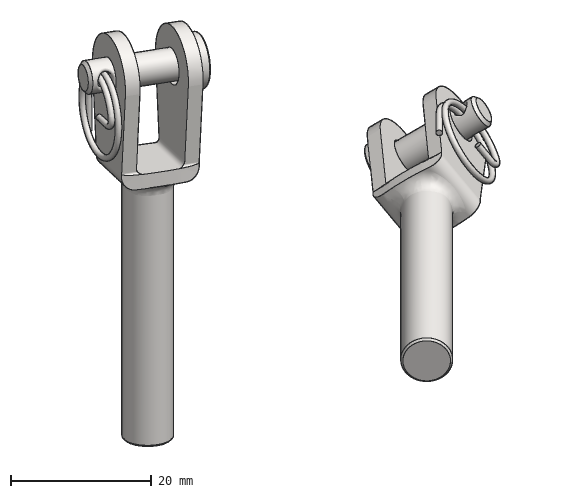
import cadquery as cq
import math


TOTAL_HEIGHT = 63.0
SHANK_RADIUS = 3.7
SHANK_CHAMFER = 0.3
NECK_FILLET = 2.0
BASE_BOTTOM = 40.8
SLOT_FLOOR = 43.1
SLOT_FILLET = 0.9
FORK_HALF_DEPTH = 6.0
SLOT_HALF_WIDTH = 3.7
BASE_HALF_WIDTH = 5.3
BASE_EDGE_ROUND = 2.1
ARM_FOOT_HALF_WIDTH = 4.85
ARM_FOOT_FILLET = 0.4
EYE_RADIUS = 6.3
EYE_Z = TOTAL_HEIGHT - EYE_RADIUS
PIN_BORE_RADIUS = 5.5 / 2
PIN_BORE_Z = 56.8

PIN_RADIUS = 2.45
PIN_Z = PIN_BORE_Z + PIN_BORE_RADIUS - PIN_RADIUS
PIN_TIP_Y = -9.95
PIN_TIP_CHAMFER = 0.5
HEAD_RADIUS = 4.15
HEAD_HEIGHT = 2.1
HEAD_CHAMFER = 0.2
CROSS_HOLE_RADIUS = 1.2
CROSS_HOLE_ROUND = 0.3
CROSS_HOLE_Y = -7.4

WIRE_RADIUS = 0.95 / 2
RING_RADIUS = 12.55 / 2
RING_Z = 51.0
RING_START_Y = -6.55
COIL_PITCH = 1.0
COIL_SWEEP = 521.0
TAIL_LENGTH = 4.9
BEND_RADIUS = 1.4
STUB_LENGTH = 3.35


def arm_side_outline():
    """Outline of an arm in the XZ plane: a round eye on a tapering leg."""
    foot_top = SLOT_FLOOR + ARM_FOOT_FILLET
    eye_rise = EYE_Z - foot_top
    foot_distance = math.hypot(ARM_FOOT_HALF_WIDTH, eye_rise)
    tangent_angle = math.acos(EYE_RADIUS / foot_distance) - math.atan2(eye_rise, ARM_FOOT_HALF_WIDTH)
    tangent_x = EYE_RADIUS * math.cos(tangent_angle)
    tangent_z = EYE_Z + EYE_RADIUS * math.sin(tangent_angle)
    return (
        cq.Workplane("XZ", origin=(0, FORK_HALF_DEPTH, 0))
        .moveTo(-ARM_FOOT_HALF_WIDTH, SLOT_FLOOR)
        .lineTo(-ARM_FOOT_HALF_WIDTH, foot_top)
        .lineTo(-tangent_x, tangent_z)
        .threePointArc((0, TOTAL_HEIGHT), (tangent_x, tangent_z))
        .lineTo(ARM_FOOT_HALF_WIDTH, foot_top)
        .lineTo(ARM_FOOT_HALF_WIDTH, SLOT_FLOOR)
        .close()
    )


def base_plan(bottom, height):
    """Slab with flat front and back and gently bulging sides."""
    return (
        cq.Workplane("XY", origin=(0, 0, bottom))
        .moveTo(-ARM_FOOT_HALF_WIDTH, -FORK_HALF_DEPTH)
        .lineTo(ARM_FOOT_HALF_WIDTH, -FORK_HALF_DEPTH)
        .threePointArc((BASE_HALF_WIDTH, 0), (ARM_FOOT_HALF_WIDTH, FORK_HALF_DEPTH))
        .lineTo(-ARM_FOOT_HALF_WIDTH, FORK_HALF_DEPTH)
        .threePointArc((-BASE_HALF_WIDTH, 0), (-ARM_FOOT_HALF_WIDTH, -FORK_HALF_DEPTH))
        .close()
        .extrude(height)
    )


def foot_flare():
    """Concave fillets that run from the arm sides out onto the base."""
    outer = ARM_FOOT_HALF_WIDTH + ARM_FOOT_FILLET
    top = SLOT_FLOOR + ARM_FOOT_FILLET
    chord = ARM_FOOT_FILLET * math.sqrt(0.5)
    flare = (
        cq.Workplane("XZ", origin=(0, FORK_HALF_DEPTH, 0))
        .moveTo(-outer, SLOT_FLOOR)
        .threePointArc((-outer + chord, top - chord), (-ARM_FOOT_HALF_WIDTH, top))
        .lineTo(ARM_FOOT_HALF_WIDTH, top)
        .threePointArc((outer - chord, top - chord), (outer, SLOT_FLOOR))
        .close()
        .extrude(2 * FORK_HALF_DEPTH)
    )
    return flare.intersect(base_plan(SLOT_FLOOR, ARM_FOOT_FILLET))


def slot_cutter():
    """Gap between the arms, open at the top, with rounded floor corners."""
    length = 3 * EYE_RADIUS
    return (
        cq.Workplane("XY", origin=(0, 0, SLOT_FLOOR))
        .rect(length, 2 * SLOT_HALF_WIDTH)
        .extrude(TOTAL_HEIGHT)
        .edges("|X and <Z")
        .fillet(SLOT_FILLET)
    )


def make_fork():
    """Shank, base and two eyed arms, with one bore through both eyes."""
    base = base_plan(BASE_BOTTOM, SLOT_FLOOR - BASE_BOTTOM)
    base = base.edges("|X and <Z").fillet(BASE_EDGE_ROUND)
    shank = cq.Workplane("XY").circle(SHANK_RADIUS).extrude(BASE_BOTTOM)
    body = shank.union(base)
    neck_corner = cq.selectors.NearestToPointSelector((0, 0, BASE_BOTTOM))
    body = body.edges(neck_corner).fillet(NECK_FILLET)
    body = body.faces("<Z").chamfer(SHANK_CHAMFER)
    arms = arm_side_outline().extrude(2 * FORK_HALF_DEPTH).union(foot_flare()).cut(slot_cutter())
    bore = (
        cq.Workplane("XZ", origin=(0, FORK_HALF_DEPTH, PIN_BORE_Z))
        .circle(PIN_BORE_RADIUS)
        .extrude(2 * FORK_HALF_DEPTH)
    )
    return body.union(arms).cut(bore)


def make_pin():
    """Headed pin with a chamfered tip and a rounded cross hole for the ring."""
    head = (
        cq.Workplane("XZ", origin=(0, FORK_HALF_DEPTH + HEAD_HEIGHT, PIN_Z))
        .circle(HEAD_RADIUS)
        .extrude(HEAD_HEIGHT)
        .edges()
        .chamfer(HEAD_CHAMFER)
    )
    stem = (
        cq.Workplane("XZ", origin=(0, FORK_HALF_DEPTH, PIN_Z))
        .circle(PIN_RADIUS)
        .extrude(FORK_HALF_DEPTH - PIN_TIP_Y)
        .faces("<Y")
        .chamfer(PIN_TIP_CHAMFER)
    )
    cross_hole = (
        cq.Workplane("YZ", origin=(-PIN_RADIUS, CROSS_HOLE_Y, PIN_Z))
        .circle(CROSS_HOLE_RADIUS)
        .extrude(2 * PIN_RADIUS)
    )
    stem = stem.cut(cross_hole).edges("%BSPLINE").fillet(CROSS_HOLE_ROUND)
    return stem.union(head)


def in_ring_plane(point, along_x, along_z):
    """Point moved within the plane of the ring."""
    return point + cq.Vector(along_x, 0, along_z)


def coil_path():
    """Left-handed helix that starts at the -X side and winds toward the pin's tip."""
    height = COIL_PITCH * COIL_SWEEP / 360
    helix = cq.Wire.makeHelix(COIL_PITCH, height, RING_RADIUS, lefthand=True)
    return (
        helix.rotate(cq.Vector(0, 0, 0), cq.Vector(0, 0, 1), 180)
        .rotate(cq.Vector(0, 0, 0), cq.Vector(1, 0, 0), 90)
        .translate(cq.Vector(0, RING_START_Y, RING_Z))
    )


def make_split_ring():
    """Wire with a straight tail, a coil, an inward bend and a straight stub."""
    coil = coil_path()
    coil_start = coil.startPoint()
    coil_end = coil.endPoint()
    end_angle = math.radians(180 - COIL_SWEEP) % (2 * math.pi)
    bend_centre = in_ring_plane(
        coil_end, -BEND_RADIUS * math.cos(end_angle), -BEND_RADIUS * math.sin(end_angle))
    middle_angle = (end_angle - math.pi / 2) / 2
    bend_middle = in_ring_plane(
        bend_centre, BEND_RADIUS * math.cos(middle_angle), BEND_RADIUS * math.sin(middle_angle))
    bend_end = in_ring_plane(bend_centre, 0, -BEND_RADIUS)

    tail = cq.Edge.makeLine(in_ring_plane(coil_start, 0, -TAIL_LENGTH), coil_start)
    bend = cq.Edge.makeThreePointArc(coil_end, bend_middle, bend_end)
    stub = cq.Edge.makeLine(bend_end, in_ring_plane(bend_end, -STUB_LENGTH, 0))
    path = cq.Wire.assembleEdges([tail, *coil.Edges(), bend, stub])
    return (
        cq.Workplane("XY", origin=tail.startPoint().toTuple())
        .circle(WIRE_RADIUS)
        .sweep(path, transition="transformed")
    )


fork = make_fork()
pin = make_pin()
ring = make_split_ring()
result = cq.Compound.makeCompound([fork.solids().val(), pin.solids().val(), ring.solids().val()])